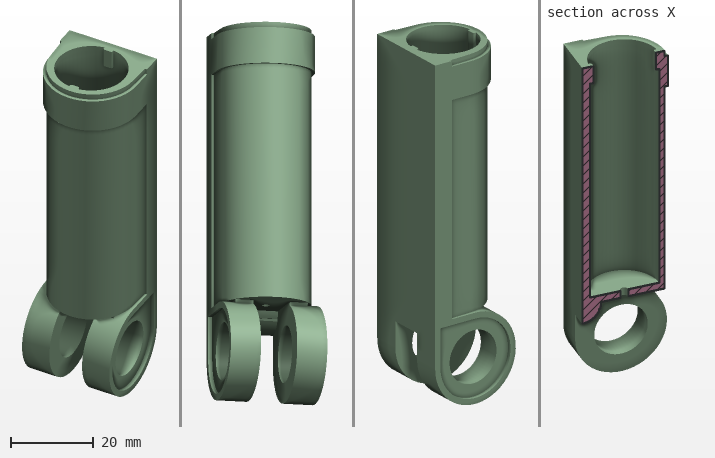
import cadquery as cq
import math

total_height = 92.0
width = 24.1
eye_diameter = 24.0
half_width = width / 2
eye_radius = eye_diameter / 2
back_y = eye_radius
top_z = total_height - eye_radius

plate_thickness = 5.0
plate_front_y = back_y - plate_thickness
tube_bottom_z = eye_radius
collar_radius = half_width
collar_lip = 0.8
tube_radius = collar_radius - collar_lip
shell_axis_y = back_y - 10.4
tube_root_half_width = 11.5

collar_top_gap = 1.5
collar_height = 8.8

bore_diameter = 18.0
bore_radius = bore_diameter / 2
bore_axis_y = back_y - 11.0
bore_floor_thickness = 2.1
vent_diameter = 2.0
key_width = 2.5
key_projection = 0.9
key_height = 5.0
key_rounding = 0.5

eye_hole_diameter = 14.0
slot_width = 9.0
recess_margin = 1.6
recess_depth = 1.0
plate_end_height = plate_thickness + 0.1
plate_end_rounding = plate_thickness - 0.1
groove_height = 0.55
groove_drop = 1.8
groove_depth = 0.55

pad_width = bore_diameter
pad_top_y = back_y - 16.7
pad_bottom_y = back_y - 16.4
pad_drop = 0.9


def box(x_size, y_min, y_max, z_min, z_max):
    """Box centred on X, given by its Y and Z limits."""
    return (
        cq.Workplane("XY")
        .box(x_size, y_max - y_min, z_max - z_min, centered=(True, False, False))
        .translate((0, y_min, z_min))
    )


def shell_solid(root_half_width, radius, z_min, z_max):
    """D-shaped prism: straight sides from the plate, tangent to a round front."""
    root_offset = plate_front_y - shell_axis_y
    root_distance = math.hypot(root_half_width, root_offset)
    tangent_angle = math.atan2(root_offset, root_half_width) - math.acos(radius / root_distance)
    tangent_x = radius * math.cos(tangent_angle)
    tangent_y = shell_axis_y + radius * math.sin(tangent_angle)
    return (
        cq.Workplane("XY")
        .workplane(offset=z_min)
        .moveTo(-root_half_width, back_y)
        .lineTo(-root_half_width, plate_front_y)
        .lineTo(-tangent_x, tangent_y)
        .threePointArc((0, shell_axis_y - radius), (tangent_x, tangent_y))
        .lineTo(root_half_width, plate_front_y)
        .lineTo(root_half_width, back_y)
        .close()
        .extrude(z_max - z_min)
    )


def eye_solid(radius, x_min, x_max):
    """Round eye whose upper back quarter is filled out to a square corner."""
    return (
        cq.Workplane("YZ")
        .workplane(offset=x_min)
        .moveTo(0, radius)
        .lineTo(radius, radius)
        .lineTo(radius, 0)
        .threePointArc((-radius * math.sqrt(0.5), -radius * math.sqrt(0.5)), (0, radius))
        .close()
        .extrude(x_max - x_min)
    )


def vertical_cylinder(diameter, z_min, z_max):
    """Cylinder on the bore axis."""
    return (
        cq.Workplane("XY")
        .workplane(offset=z_min)
        .center(0, bore_axis_y)
        .circle(diameter / 2)
        .extrude(z_max - z_min)
    )


def bore_key(side):
    """Key on the bore wall, on the back (+1) or front (-1) side."""
    tip_y = bore_axis_y + side * (bore_radius - key_projection)
    root_y = bore_axis_y + side * (bore_radius + key_projection)
    key = box(key_width, min(tip_y, root_y), max(tip_y, root_y), top_z - key_height, top_z)
    tip_edges = "|Z and <Y" if side > 0 else "|Z and >Y"
    return key.edges(tip_edges).fillet(key_rounding)


plate = box(width, plate_front_y, back_y, 0, top_z)
tube = shell_solid(tube_root_half_width, tube_radius, tube_bottom_z, top_z)
collar_top_z = top_z - collar_top_gap
collar = shell_solid(half_width, collar_radius, collar_top_z - collar_height, collar_top_z)
eye = eye_solid(eye_radius, -half_width, half_width)
pad = (
    cq.Workplane("YZ")
    .polyline(
        [
            (0, tube_bottom_z - pad_drop),
            (pad_bottom_y, tube_bottom_z - pad_drop),
            (pad_top_y, tube_bottom_z),
            (0, tube_bottom_z),
        ]
    )
    .close()
    .extrude(pad_width / 2, both=True)
)
body = plate.union(tube).union(collar).union(eye).union(pad)

slot = box(slot_width, -eye_radius, back_y, -eye_radius, tube_bottom_z)
plate_end = (
    box(slot_width, plate_front_y, back_y, tube_bottom_z - plate_end_height, tube_bottom_z)
    .edges("|X and <Y and <Z")
    .fillet(plate_end_rounding)
)
groove_top_z = tube_bottom_z - groove_drop
groove = box(
    slot_width, plate_front_y, plate_front_y + groove_depth, groove_top_z - groove_height, groove_top_z
)
body = body.cut(slot.cut(plate_end.cut(groove)))

eye_hole = cq.Workplane("YZ").circle(eye_hole_diameter / 2).extrude(half_width, both=True)
recess_radius = eye_radius - recess_margin
body = body.cut(eye_hole)
body = body.cut(eye_solid(recess_radius, -half_width, -half_width + recess_depth))
body = body.cut(eye_solid(recess_radius, half_width - recess_depth, half_width))

bore_floor_z = tube_bottom_z + bore_floor_thickness
bore = vertical_cylinder(bore_diameter, bore_floor_z, top_z)
for side in (1, -1):
    bore = bore.cut(bore_key(side))
vent = vertical_cylinder(vent_diameter, 0, bore_floor_z)
result = body.cut(bore).cut(vent)